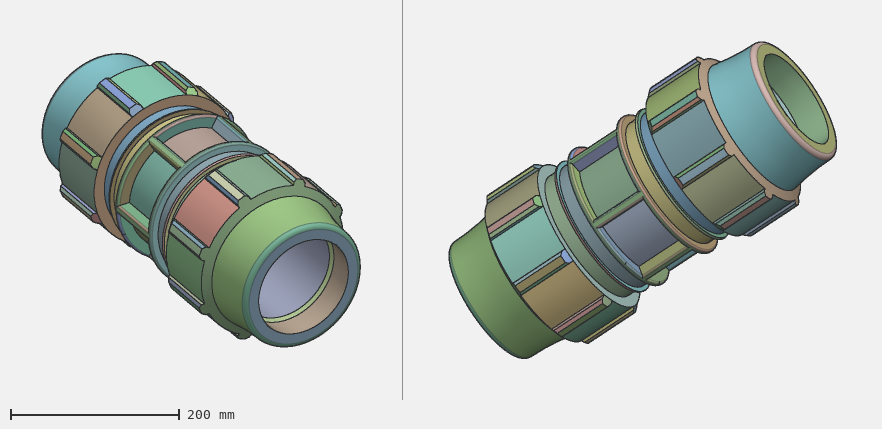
import cadquery as cq
import math


TOTAL_LENGTH = 460.0
HALF_LENGTH = TOTAL_LENGTH / 2

BORE_RADIUS = 125.0 / 2
SOCKET_RADIUS = 66.3
SOCKET_DEPTH = 38.5
SHOULDER_LENGTH = 4.0

BODY_RADIUS = 169.6 / 2
SEAL_RING_RADIUS = 90.8
SEAL_RING_INNER_X = 59.0
SEAL_RING_WIDTH = 3.0
SEAL_RING_RISE = 0.8

COLLAR_RADIUS = 190.8 / 2
COLLAR_HALF_WIDTH = 40.0
POCKET_HALF_WIDTH = 33.0
POCKET_FLOOR_RADIUS = 79.8
POCKET_COUNT = 6
SPOKE_WIDTH = 11.0
COLLAR_EDGE_FILLET = 2.5

NUT_RADIUS = 99.0
NUT_INNER_X = 81.0
NOSE_BASE_X = 165.4
NOSE_BASE_RADIUS = 87.8
NOSE_TIP_RADIUS = 81.9
NOSE_FILLET = 6.0
NUT_FRONT_SLOPE = 2.0

RIB_COUNT = 8
RIB_WIDTH = 17.2
RIB_CHAMFER = 3.6
RIB_TIP_RADIUS = 106.0
RIB_FIRST_ANGLE = 180.0 / RIB_COUNT


def revolve_about_x(profile):
    """Turn a closed profile, drawn as X and radius, around the X axis."""
    return profile.close().revolve(360, (0, 0, 0), (1, 0, 0))


def cylinder_x(radius, x_start, x_end):
    """Solid cylinder along X between two X positions."""
    return cq.Workplane("YZ", origin=(x_start, 0, 0)).circle(radius).extrude(x_end - x_start)


def front_cone_x(radius):
    """X position of the conical front of the nut at a given radius."""
    return NOSE_BASE_X - (radius - NOSE_BASE_RADIUS) / NUT_FRONT_SLOPE


def make_nut():
    """Nut on the +X side: flared nose, conical shoulder and grip ribs."""
    nose_start_x = HALF_LENGTH - NOSE_FILLET
    corner = NOSE_FILLET * math.sqrt(0.5)
    shell = revolve_about_x(
        cq.Workplane("XY")
        .moveTo(NUT_INNER_X, 0)
        .lineTo(NUT_INNER_X, NUT_RADIUS)
        .lineTo(front_cone_x(NUT_RADIUS), NUT_RADIUS)
        .lineTo(NOSE_BASE_X, NOSE_BASE_RADIUS)
        .lineTo(NOSE_BASE_X, 0)
    )
    nose = revolve_about_x(
        cq.Workplane("XY")
        .moveTo(NUT_INNER_X, 0)
        .lineTo(HALF_LENGTH, 0)
        .lineTo(HALF_LENGTH, NOSE_TIP_RADIUS - NOSE_FILLET)
        .threePointArc(
            (nose_start_x + corner, NOSE_TIP_RADIUS - NOSE_FILLET + corner),
            (nose_start_x, NOSE_TIP_RADIUS),
        )
        .tangentArcPoint((NOSE_BASE_X, NOSE_BASE_RADIUS), relative=False)
        .lineTo(NUT_INNER_X, NOSE_BASE_RADIUS)
    )
    return shell.union(nose).union(make_ribs())


def make_rib():
    """One rib along X, pointing to +Y, with chamfered sides and a curved crown."""
    half_width = RIB_WIDTH / 2
    crown_half_width = half_width - RIB_CHAMFER
    crown_edge = math.sqrt(RIB_TIP_RADIUS**2 - crown_half_width**2)
    side_top = crown_edge - RIB_CHAMFER
    return (
        cq.Workplane("YZ", origin=(NUT_INNER_X, 0, 0))
        .moveTo(0, -half_width)
        .lineTo(side_top, -half_width)
        .lineTo(crown_edge, -crown_half_width)
        .threePointArc((RIB_TIP_RADIUS, 0), (crown_edge, crown_half_width))
        .lineTo(side_top, half_width)
        .lineTo(0, half_width)
        .close()
        .extrude(NOSE_BASE_X - NUT_INNER_X)
    )


def make_ribs():
    """Ring of ribs, trimmed by the front cone and a 45 degree rear cone."""
    rib = make_rib()
    ribs = cylinder_x(BODY_RADIUS, NUT_INNER_X, NOSE_BASE_X)
    for index in range(RIB_COUNT):
        angle = RIB_FIRST_ANGLE + index * 360.0 / RIB_COUNT
        ribs = ribs.union(rib.rotate((0, 0, 0), (1, 0, 0), angle))
    rib_height = RIB_TIP_RADIUS - NUT_RADIUS
    envelope = revolve_about_x(
        cq.Workplane("XY")
        .moveTo(NUT_INNER_X, 0)
        .lineTo(NUT_INNER_X, NUT_RADIUS)
        .lineTo(NUT_INNER_X + rib_height, RIB_TIP_RADIUS)
        .lineTo(front_cone_x(RIB_TIP_RADIUS), RIB_TIP_RADIUS)
        .lineTo(NOSE_BASE_X, NOSE_BASE_RADIUS)
        .lineTo(NOSE_BASE_X, 0)
    )
    return ribs.intersect(envelope)


def make_seal_ring():
    """Thin ring on the body, next to the collar on the +X side."""
    outer_x = SEAL_RING_INNER_X + SEAL_RING_WIDTH
    return revolve_about_x(
        cq.Workplane("XY")
        .moveTo(SEAL_RING_INNER_X, 0)
        .lineTo(SEAL_RING_INNER_X, SEAL_RING_RADIUS)
        .lineTo(outer_x, SEAL_RING_RADIUS - SEAL_RING_RISE)
        .lineTo(outer_x, 0)
    )


def is_collar_outer_edge(edge):
    """True for rim circles and pocket edges on the collar's outer surface, not for its seam."""
    middle = edge.positionAt(0.5)
    radius = math.hypot(middle.y, middle.z)
    is_outside = radius > COLLAR_RADIUS - COLLAR_EDGE_FILLET
    is_seam = edge.geomType() == "LINE" and edge.Length() > POCKET_HALF_WIDTH + COLLAR_HALF_WIDTH
    return is_outside and not is_seam


def make_collar():
    """Middle collar with pockets between spokes, all outer edges rounded."""
    collar = cylinder_x(COLLAR_RADIUS, -COLLAR_HALF_WIDTH, COLLAR_HALF_WIDTH)
    pockets = cylinder_x(COLLAR_RADIUS, -POCKET_HALF_WIDTH, POCKET_HALF_WIDTH)
    pockets = pockets.cut(cylinder_x(POCKET_FLOOR_RADIUS, -POCKET_HALF_WIDTH, POCKET_HALF_WIDTH))
    for index in range(POCKET_COUNT):
        spoke = (
            cq.Workplane("XY")
            .box(2 * POCKET_HALF_WIDTH, 2 * COLLAR_RADIUS, SPOKE_WIDTH, centered=(True, False, True))
            .rotate((0, 0, 0), (1, 0, 0), index * 360.0 / POCKET_COUNT)
        )
        pockets = pockets.cut(spoke)
    collar = collar.cut(pockets)
    outer_edges = [edge for edge in collar.edges().vals() if is_collar_outer_edge(edge)]
    return collar.newObject(outer_edges).fillet(COLLAR_EDGE_FILLET)


def make_bore():
    """Through bore with a flared mouth at each end."""
    socket_x = HALF_LENGTH - SOCKET_DEPTH
    shoulder_x = socket_x - SHOULDER_LENGTH
    return revolve_about_x(
        cq.Workplane("XY")
        .moveTo(-HALF_LENGTH, 0)
        .lineTo(-HALF_LENGTH, BORE_RADIUS)
        .lineTo(-socket_x, SOCKET_RADIUS)
        .lineTo(-shoulder_x, BORE_RADIUS)
        .lineTo(shoulder_x, BORE_RADIUS)
        .lineTo(socket_x, SOCKET_RADIUS)
        .lineTo(HALF_LENGTH, BORE_RADIUS)
        .lineTo(HALF_LENGTH, 0)
    )


end_features = make_nut().union(make_seal_ring())
body = cylinder_x(BODY_RADIUS, -NUT_INNER_X, -COLLAR_HALF_WIDTH).union(
    cylinder_x(BODY_RADIUS, COLLAR_HALF_WIDTH, NUT_INNER_X)
)
result = (
    make_collar()
    .union(body)
    .union(end_features)
    .union(end_features.mirror("YZ"))
    .cut(make_bore())
)